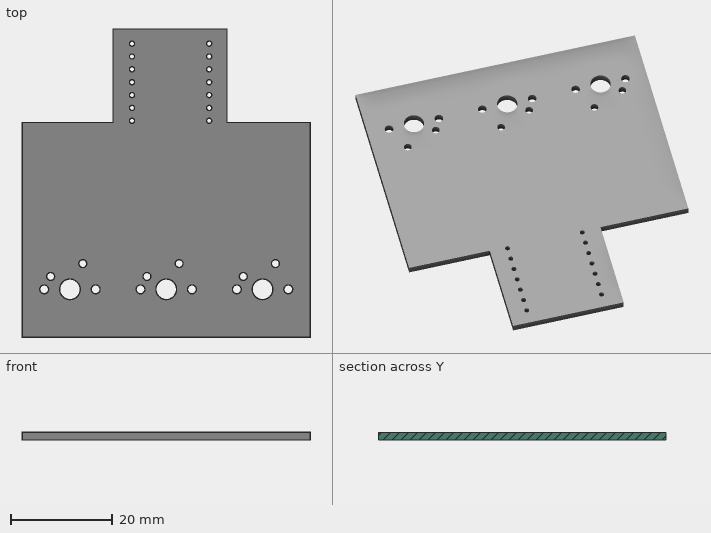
import cadquery as cq

body_width = 57.0
total_length = 61.0
thickness = 1.6
body_length = 42.5
tab_width = 22.6
tab_center_x = 0.75

pin_diameter = 1.0
pins_per_row = 7
pin_row_length = 15.25
pin_row_spacing = 15.25
pin_rows_center_x = 0.85
pin_edge_distance = 2.9

switch_count = 3
switch_pitch = 19.05
switch_edge_distance = 9.5
center_hole_diameter = 4.0
mount_hole_diameter = 1.7
contact_hole_diameter = 1.5
grid = pin_row_length / (pins_per_row - 1)
mount_offset = 2 * grid
contact_offsets = [(-1.5 * grid, grid), (grid, 2 * grid)]

front_edge_y = -total_length / 2
back_edge_y = total_length / 2


def make_plate():
    """Body and tab as one flat plate, with the underside at Z = 0."""
    body = cq.Workplane("XY").box(body_width, body_length, thickness, centered=(True, False, False))
    tab_length = total_length - body_length
    tab = cq.Workplane("XY").box(tab_width, tab_length, thickness, centered=(True, False, False))
    body = body.translate((0, front_edge_y, 0))
    tab = tab.translate((tab_center_x, front_edge_y + body_length, 0))
    return body.union(tab)


def through_holes(points, diameter):
    """Cylinders that pass through the plate at the given places."""
    return cq.Workplane("XY").pushPoints(points).circle(diameter / 2).extrude(thickness)


def pin_points():
    """Centers of the pin holes, counted from the tab's end."""
    first_y = back_edge_y - pin_edge_distance
    return [
        (pin_rows_center_x + side * pin_row_spacing / 2, first_y - index * grid)
        for side in (-1, 1)
        for index in range(pins_per_row)
    ]


def cut_switch(plate, x, y):
    """One footprint: a center hole, two mounting holes and two contact holes."""
    mounts = [(x - mount_offset, y), (x + mount_offset, y)]
    contacts = [(x + dx, y + dy) for dx, dy in contact_offsets]
    plate = plate.cut(through_holes([(x, y)], center_hole_diameter))
    plate = plate.cut(through_holes(mounts, mount_hole_diameter))
    return plate.cut(through_holes(contacts, contact_hole_diameter))


result = make_plate().cut(through_holes(pin_points(), pin_diameter))
for index in range(switch_count):
    switch_x = (index - (switch_count - 1) / 2) * switch_pitch
    result = cut_switch(result, switch_x, front_edge_y + switch_edge_distance)